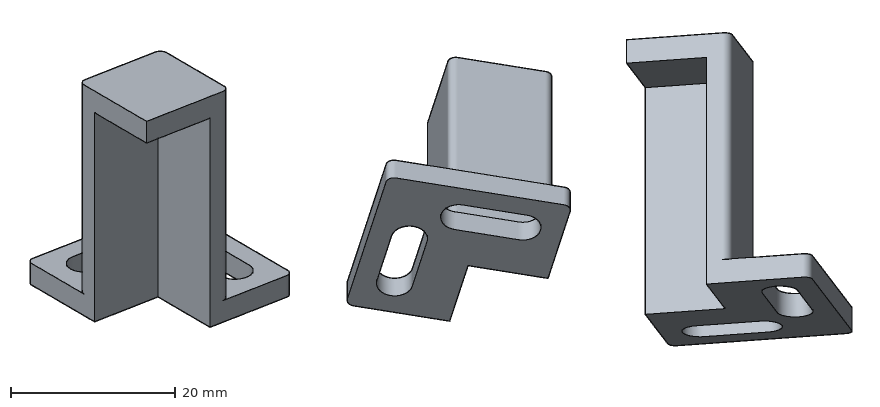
import cadquery as cq

height = 32.0
base_side = 23.0
wall = 3.0
column_side = 13.0
corner_radius = 1.0

slot_length = 12.4
slot_width = 4.4
slot_inset = 5.0
slot_offset = 9.0

column_left = base_side - column_side
cavity_side = column_side - wall


def corner_block(side, block_height):
    """Square block in the +X, -Y corner of the base, with that corner left sharp."""
    block = cq.Workplane("XY").box(side, side, block_height, centered=False)
    block = block.edges("|Z").edges("<X or >Y").fillet(corner_radius)
    return block.translate((base_side - side, 0, 0))


def slot(x, y, angle):
    """Through slot cutter, turned by angle from the X axis."""
    return cq.Workplane("XY").center(x, y).slot2D(slot_length, slot_width, angle).extrude(wall)


result = corner_block(base_side, wall).union(corner_block(column_side, height))

cavity = cq.Workplane("XY").box(cavity_side, cavity_side, height - wall, centered=False)
result = result.cut(cavity.translate((column_left + wall, 0, 0)))

result = result.cut(slot(slot_inset, slot_offset, 90))
result = result.cut(slot(base_side - slot_offset, base_side - slot_inset, 0))